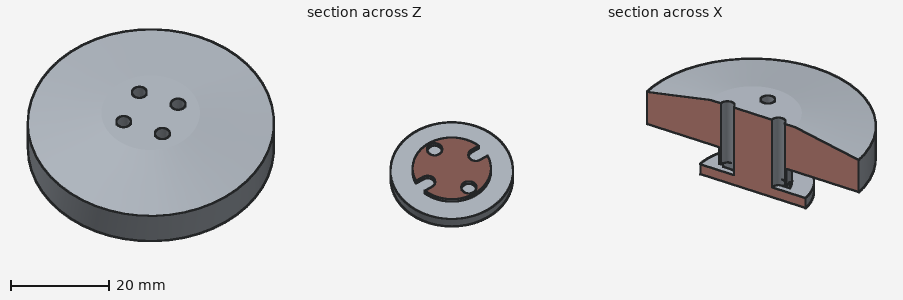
import cadquery as cq

total_height = 18.88
flange_diameter = 24.91
flange_thickness = 2.5
neck_diameter = 16.0
neck_height = 5.5
rim_diameter = 50.0
crown_diameter = 20.0
crown_height = 3.0

hole_diameter = 3.0
hole_circle_diameter = 12.0
hole_count = 4
notch_height = 1.5

rim_bottom = flange_thickness + neck_height
rim_top = total_height - crown_height
hole_depth = total_height - flange_thickness


def revolved_body():
    """Solid of revolution about Z, standing on the flange."""
    profile = [
        (0, 0),
        (flange_diameter / 2, 0),
        (flange_diameter / 2, flange_thickness),
        (neck_diameter / 2, flange_thickness),
        (neck_diameter / 2, rim_bottom),
        (rim_diameter / 2, rim_bottom),
        (rim_diameter / 2, rim_top),
        (crown_diameter / 2, total_height),
        (0, total_height),
    ]
    return cq.Workplane("XZ").polyline(profile).close().revolve(360, (0, 0), (0, 1))


def crown_holes():
    """Vertical holes reaching from the crown down to the top face of the flange."""
    return (
        cq.Workplane("XY", origin=(0, 0, flange_thickness))
        .polarArray(hole_circle_diameter / 2, 0, 360, hole_count)
        .circle(hole_diameter / 2)
        .extrude(hole_depth)
    )


def neck_notch(side):
    """Opening from a hole's axis out through the neck wall, toward +Y (side=1) or -Y (side=-1)."""
    inner_y = hole_circle_diameter / 2
    outer_y = flange_diameter / 2
    return (
        cq.Workplane("XY", origin=(0, side * (inner_y + outer_y) / 2, flange_thickness))
        .rect(hole_diameter, outer_y - inner_y)
        .extrude(notch_height)
    )


result = revolved_body().cut(crown_holes())
for side in (-1, 1):
    result = result.cut(neck_notch(side))